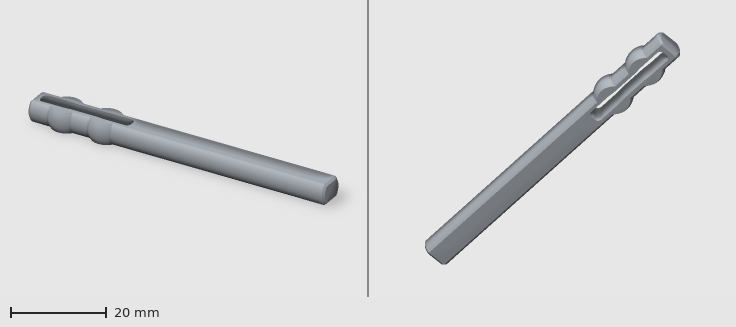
import cadquery as cq

length = 71.9
thickness = 5.0
shaft_diameter = 6.6
end_chamfer = 0.5

bulge_diameter = 8.55
bulge_pitch = 9.7
first_bulge_x = 7.6
bulge_centers = [first_bulge_x, first_bulge_x + bulge_pitch]

slot_start = 1.5
slot_end = 23.5
slot_width = 2.9
slot_corner_radius = 1.0
waist_width = 2.6
waist_taper_length = 1.8


def make_round_body():
    """Round shaft with the two spherical bulges."""
    body = cq.Workplane("YZ").circle(shaft_diameter / 2).extrude(length)
    for x in bulge_centers:
        body = body.union(cq.Workplane("XY").sphere(bulge_diameter / 2).translate((x, 0, 0)))
    return body


def cut_flats(body):
    """Keep only the slab of the body between the two flats."""
    slab = cq.Workplane("XY").box(length, 2 * bulge_diameter, thickness).translate((length / 2, 0, 0))
    return body.intersect(slab)


def chamfer_ends(body):
    """Bevel the whole outline of both end faces."""
    return body.faces("<X or >X").chamfer(end_chamfer)


def make_slot_cutter():
    """Slot profile whose sides taper in from each bulge centre to the waist."""
    half_slot = slot_width / 2
    half_waist = waist_width / 2
    first_x, second_x = bulge_centers
    upper_side = [
        (slot_start, half_slot),
        (first_x, half_slot),
        (first_x + waist_taper_length, half_waist),
        (second_x - waist_taper_length, half_waist),
        (second_x, half_slot),
        (slot_end, half_slot),
    ]
    lower_side = [(x, -y) for x, y in reversed(upper_side)]
    cutter = (
        cq.Workplane("XY")
        .polyline(upper_side + lower_side)
        .close()
        .extrude(thickness / 2, both=True)
    )
    return cutter.edges("|Z and (<X or >X)").fillet(slot_corner_radius)


result = chamfer_ends(cut_flats(make_round_body())).cut(make_slot_cutter())